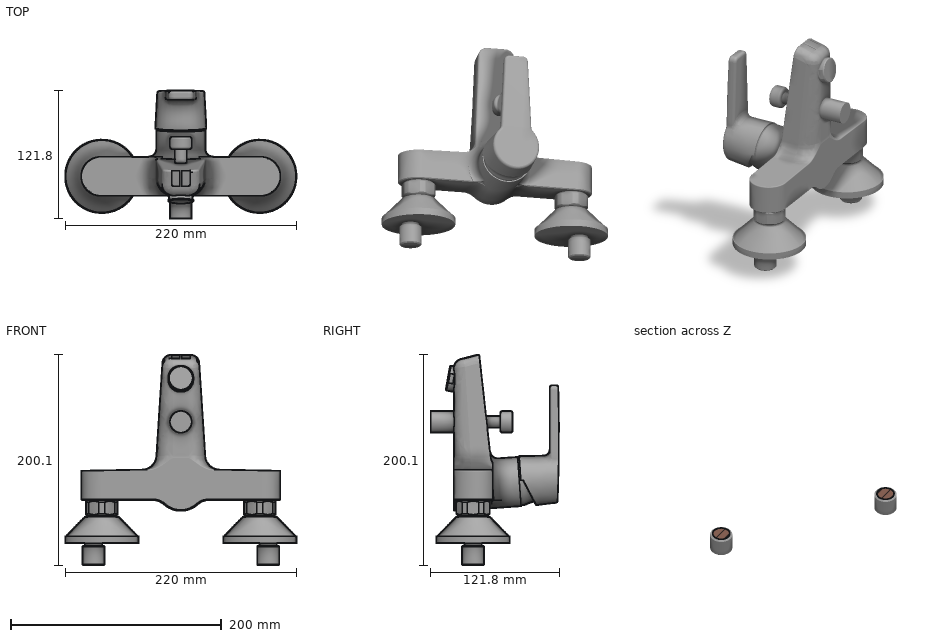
import cadquery as cq
import math

margin = 0.2

bar_half_length = 94.5
bar_half_depth = 18.5
bar_bottom = 62.0
bar_end_top = 90.0
bar_mid_top = 91.0
flare_radius = 13.2
hump_fillet = 16.5
bar_edge_chamfer = 0.9
bar_edge_fillet = 0.9
bar_rise_end = 37.4

column_base_half_width = 24.5
column_base_back = 18.5
column_base_corner = 17.1
column_burial = 4.5
column_base_z = bar_mid_top - column_burial
column_tip_half_width = 17.0
column_tip_back = 5.7
column_tip_corner = 9.7
column_tip_z = 202.2
column_back_fillet = 1.8
column_inset = 0.2
column_front = column_inset - bar_half_depth
column_peak_y = 5.0
column_peak_z = 200.3
column_brow_z = 194.0
column_top_fillet = 8.8
column_rim_bottom = 175.9
column_rim_back = 4.6

inlay_half_width = 8.8
inlay_gap = 1.8
inlay_length = 15.0
inlay_depth = 0.5
inlay_corner = 2.0

barrel_tilt = 4.0
barrel_root_z = 77.8
barrel_radius = 23.5
barrel_end = 25.5
neck_radius = 22.6
neck_end = 28.4
inner_cone_end = 41.8
inner_cone_radius = 18.7
barrel_flare = 7.0
cap_start = 27.0
cap_end = 70.3
cap_front_radius = 24.5
cap_back_radius = 22.0

lever_front = 72.5
lever_thickness = 13.2
lever_base_z = 88.0
lever_root_z = 97.8
lever_root_top_z = 105.5
lever_top_z = 171.0
lever_base_half_width = 15.4
lever_top_half_width = 11.2
lever_corner = 4.8
lever_edge_fillet = 2.6
lever_root_fillet = 5.3
handle_back = 81.5
handle_back_fillet = 2.2
handle_back_mid_z = 114.3
handle_back_top_y = 81.0
handle_bottom_z = 60.5
handle_back_bottom_y = 80.2

mouth_top_y = 47.5
mouth_top_z = 81.0
mouth_bottom_y = 61.8
mouth_bottom_z = 53.5

outlet_z = 136.3
outlet_radius = 10.3
outlet_tip = -40.2
rod_radius = 5.7
knob_radius = 10.3
knob_front = 25.7
knob_back = 37.5
knob_fillet = 2.5
aerator_tilt = 10.0
aerator_face_y = -24.0
aerator_face_z = 177.8
aerator_radius = 12.0
aerator_depth = 10.0
aerator_chamfer = 0.9
aerator_flat_x = 11.2
aerator_flat_start = 1.3
aerator_flat_end = 5.7

flange_x = 75.0
flange_radius = 35.0
flange_bottom = 21.0
flange_rim_top = 27.5
flange_cone_radius = 34.3
flange_top = 46.2
flange_top_radius = 16.0
nut_bottom = 47.3
nut_across_flats = 30.1
nut_corner_radius = 16.0
nut_chamfer = 2.0
collar_radius = 13.6
stub_x = 82.9
stub_radius = 10.5
stub_top = 19.0
stub_chamfer = 1.0
stub_neck_radius = 8.4


def cylinder_y(radius, y_start, y_end, z):
    """Cylinder along Y at x = 0."""
    return (
        cq.Workplane("XZ", origin=(0, y_start, z))
        .circle(radius)
        .extrude(y_start - y_end)
    )


def on_barrel_axis(solid):
    """Move a solid built around +Y onto the tilted barrel axis at the bar's back face."""
    return (
        solid.rotate((0, 0, 0), (1, 0, 0), barrel_tilt)
        .translate((0, bar_half_depth, barrel_root_z))
    )


def column_section(z, half_width, back, corner):
    """Plan section of the column: square back, rounded front corners."""
    bend = corner * (1 - math.sqrt(0.5))
    shoulder = column_front + corner
    return (
        cq.Workplane("XY", origin=(0, 0, z))
        .moveTo(-half_width, back)
        .lineTo(-half_width, shoulder)
        .threePointArc(
            (-half_width + bend, column_front + bend),
            (-half_width + corner, column_front),
        )
        .lineTo(half_width - corner, column_front)
        .threePointArc(
            (half_width - bend, column_front + bend),
            (half_width, shoulder),
        )
        .lineTo(half_width, back)
        .close()
        .wire()
        .val()
    )


def make_column():
    """Tapering column with a sloped, rounded top; its foot is buried in the crossbar."""
    base = column_section(
        column_base_z, column_base_half_width, column_base_back, column_base_corner
    )
    tip = column_section(
        column_tip_z, column_tip_half_width, column_tip_back, column_tip_corner
    )
    column = cq.Workplane(cq.Solid.makeLoft([base, tip], True))
    slope = (column_peak_z - column_brow_z) / (column_peak_y - column_front)
    reach = 2 * column_base_half_width
    below_slope = (
        cq.Workplane("YZ")
        .moveTo(-reach, 0)
        .lineTo(reach, 0)
        .lineTo(reach, column_peak_z + slope * (reach - column_peak_y))
        .lineTo(-reach, column_peak_z - slope * (reach + column_peak_y))
        .close()
        .extrude(reach, both=True)
    )
    column = column.intersect(below_slope)
    rim_zone = cq.selectors.BoxSelector(
        (-reach, -reach, column_rim_bottom), (reach, column_rim_back, column_tip_z)
    )
    column = column.faces(">Z").edges().edges(rim_zone).fillet(column_top_fillet)
    back_zone = cq.selectors.BoxSelector(
        (-reach, column_rim_back, bar_mid_top + flare_radius), (reach, reach, column_tip_z)
    )
    return column.edges(back_zone).fillet(column_back_fillet)


def make_inlays():
    """Two thin recess cutters, left and right of the middle of the sloped top."""
    slope_angle = math.degrees(
        math.atan2(column_peak_z - column_brow_z, column_peak_y - column_front)
    )
    plate = (
        cq.Workplane("XY")
        .rect(2 * inlay_half_width, inlay_length)
        .extrude(2 * inlay_depth)
        .edges("|Z and <Y")
        .fillet(inlay_corner)
    )
    bridge = cq.Workplane("XY").box(inlay_gap, 2 * inlay_length, 4 * inlay_depth)
    return (
        plate.cut(bridge)
        .translate((0, -inlay_length / 2, -inlay_depth))
        .rotate((0, 0, 0), (1, 0, 0), slope_angle)
        .translate((0, column_peak_y, column_peak_z))
    )


def make_body():
    """Crossbar with its lower hump and the column, blended and trimmed to a stadium plan."""
    rough_depth = 3 * bar_half_depth
    bar = (
        cq.Workplane("XZ")
        .moveTo(-bar_half_length, bar_bottom)
        .lineTo(bar_half_length, bar_bottom)
        .lineTo(bar_half_length, bar_end_top)
        .lineTo(bar_rise_end, bar_mid_top)
        .lineTo(-bar_rise_end, bar_mid_top)
        .lineTo(-bar_half_length, bar_end_top)
        .close()
        .extrude(rough_depth, both=True)
    )
    hump = on_barrel_axis(cylinder_y(barrel_radius, -2 * rough_depth, rough_depth, 0))
    hump_limit = cq.Workplane("XY").box(
        bar_half_length, 2 * rough_depth, 2 * column_base_z
    )
    bar = bar.union(hump.intersect(hump_limit))
    crease_zone = cq.selectors.BoxSelector(
        (-barrel_radius, -bar_half_depth, bar_bottom - margin),
        (barrel_radius, bar_half_depth, bar_bottom + margin),
    )
    bar = bar.edges(crease_zone).fillet(hump_fillet)
    body = bar.union(make_column())
    foot_zone = cq.selectors.BoxSelector(
        (-column_base_half_width, -bar_half_depth, bar_mid_top - margin),
        (column_base_half_width, column_base_back, bar_mid_top + margin),
    )
    body = body.edges(foot_zone).fillet(flare_radius)
    plan = (
        cq.Workplane("XY")
        .slot2D(2 * bar_half_length, 2 * bar_half_depth)
        .extrude(column_tip_z)
    )
    body = body.intersect(plan)
    underside_zone = cq.selectors.BoxSelector(
        (-bar_half_length, -2 * bar_half_depth, 0),
        (bar_half_length, 2 * bar_half_depth, bar_bottom + margin),
    )
    body = body.edges(underside_zone).chamfer(bar_edge_chamfer)
    upper_zone = cq.selectors.BoxSelector(
        (-bar_half_length - margin, -2 * bar_half_depth, bar_end_top - margin),
        (bar_half_length + margin, 2 * bar_half_depth, bar_mid_top + flare_radius),
    )
    walls = body.faces("<Y or >Y or %CYLINDER")
    return walls.edges(upper_zone).edges("not |Z").fillet(bar_edge_fillet)


def make_barrel():
    """Cartridge barrel with a groove neck, a tapering inner cone and a flared root."""
    barrel = on_barrel_axis(
        cq.Workplane("XY")
        .moveTo(0, -bar_half_depth / 2)
        .lineTo(barrel_radius, -bar_half_depth / 2)
        .lineTo(barrel_radius, barrel_end)
        .lineTo(neck_radius, barrel_end)
        .lineTo(neck_radius, neck_end)
        .lineTo(inner_cone_radius, inner_cone_end)
        .lineTo(0, inner_cone_end)
        .close()
        .revolve(360, (0, 0, 0), (0, 1, 0))
    )
    bend = barrel_flare * (1 - math.sqrt(0.5))
    flare = on_barrel_axis(
        cq.Workplane("XY")
        .moveTo(0, -barrel_flare)
        .lineTo(barrel_radius + barrel_flare, -barrel_flare)
        .lineTo(barrel_radius + barrel_flare, 0)
        .threePointArc((barrel_radius + bend, bend), (barrel_radius, barrel_flare))
        .lineTo(0, barrel_flare)
        .close()
        .revolve(360, (0, 0, 0), (0, 1, 0))
    )
    above_underside = (
        cq.Workplane("XY", origin=(0, 0, bar_bottom))
        .rect(bar_half_length, 4 * bar_half_depth)
        .extrude(bar_bottom)
    )
    return barrel.union(flare.intersect(above_underside))


def make_handle():
    """Tapered cap with a slanted lower mouth and an upright lever."""
    cap = on_barrel_axis(
        cq.Workplane("XY")
        .lineTo(cap_front_radius, 0)
        .lineTo(cap_back_radius, cap_end - cap_start)
        .lineTo(0, cap_end - cap_start)
        .close()
        .revolve(360, (0, 0, 0), (0, 1, 0))
        .translate((0, cap_start, 0))
    )
    mouth = (
        cq.Workplane("YZ")
        .moveTo(mouth_top_y, mouth_top_z)
        .lineTo(mouth_bottom_y, mouth_bottom_z)
        .lineTo(bar_half_depth, mouth_bottom_z)
        .lineTo(bar_half_depth, mouth_top_z)
        .close()
        .extrude(2 * cap_front_radius, both=True)
    )
    cap = cap.cut(mouth)
    lever = (
        cq.Workplane("XZ", origin=(0, lever_front, 0))
        .moveTo(-lever_base_half_width, lever_base_z)
        .lineTo(lever_base_half_width, lever_base_z)
        .lineTo(lever_top_half_width, lever_top_z)
        .lineTo(-lever_top_half_width, lever_top_z)
        .close()
        .extrude(-lever_thickness)
        .edges("|Y and >Z")
        .fillet(lever_corner)
    )
    lever = lever.faces("<Y").edges("not <Z").fillet(lever_edge_fillet)
    handle = cap.union(lever)
    root_zone = cq.selectors.BoxSelector(
        (-cap_back_radius, lever_front - margin, lever_root_z),
        (cap_back_radius, lever_front + lever_edge_fillet + margin, lever_root_top_z),
    )
    handle = handle.edges(root_zone).fillet(lever_root_fillet)
    envelope = (
        cq.Workplane("YZ")
        .moveTo(handle_back_top_y, lever_top_z)
        .threePointArc(
            (handle_back, handle_back_mid_z), (handle_back_bottom_y, handle_bottom_z)
        )
        .lineTo(handle_back_bottom_y, 0)
        .lineTo(0, 0)
        .lineTo(0, lever_top_z)
        .close()
        .extrude(2 * cap_front_radius, both=True)
    )
    handle = handle.intersect(envelope)
    return handle.faces(">Y").edges().fillet(handle_back_fillet)


def make_outlet():
    """Plain round outlet tube on the column front."""
    return cylinder_y(outlet_radius, outlet_tip, 0, outlet_z)


def make_diverter():
    """Pull rod with a rounded knob behind the column."""
    rod = cylinder_y(rod_radius, 0, knob_back, outlet_z)
    knob = cylinder_y(knob_radius, knob_front, knob_back, outlet_z).edges().fillet(knob_fillet)
    return rod.union(knob)


def make_aerator():
    """Short disc on the column front, its face turned slightly upward."""
    disc = cylinder_y(aerator_radius, 0, aerator_depth, 0)
    disc = disc.faces("<Y").chamfer(aerator_chamfer)
    for side in (-1, 1):
        flat = cq.Workplane("XY").box(
            aerator_radius,
            aerator_flat_end - aerator_flat_start,
            2 * aerator_radius,
            centered=(True, False, True),
        )
        flat_center = side * (aerator_flat_x + aerator_radius / 2)
        disc = disc.cut(flat.translate((flat_center, aerator_flat_start, 0)))
    return (
        disc.rotate((0, 0, 0), (1, 0, 0), -aerator_tilt)
        .translate((0, aerator_face_y, aerator_face_z))
    )


def make_wall_connection(side):
    """Nut, conical flange and offset stub; side is -1 or +1."""
    flange = (
        cq.Workplane("XZ")
        .moveTo(0, flange_bottom)
        .lineTo(flange_radius, flange_bottom)
        .lineTo(flange_radius, flange_rim_top)
        .lineTo(flange_cone_radius, flange_rim_top)
        .lineTo(flange_top_radius, flange_top)
        .lineTo(collar_radius, flange_top)
        .lineTo(collar_radius, bar_bottom)
        .lineTo(0, bar_bottom)
        .close()
        .revolve(360, (0, 0, 0), (0, 1, 0))
    )
    nut_height = bar_bottom - nut_bottom
    hexagon = (
        cq.Workplane("XY", origin=(0, 0, nut_bottom))
        .polygon(6, nut_across_flats, circumscribed=True)
        .extrude(nut_height)
    )
    turned = (
        cq.Workplane("XY", origin=(0, 0, nut_bottom))
        .circle(nut_corner_radius)
        .extrude(nut_height)
        .edges()
        .chamfer(nut_chamfer)
    )
    nut = hexagon.intersect(turned)
    stub = (
        cq.Workplane("XY")
        .circle(stub_radius)
        .extrude(stub_top)
        .edges()
        .chamfer(stub_chamfer)
    )
    stub_neck = cq.Workplane("XY").circle(stub_neck_radius).extrude(flange_rim_top)
    stub = stub.union(stub_neck).translate((side * stub_x, 0, 0))
    return flange.union(nut).translate((side * flange_x, 0, 0)).union(stub)


result = make_body().cut(make_inlays())
for feature in (
    make_barrel(),
    make_handle(),
    make_outlet(),
    make_diverter(),
    make_aerator(),
    make_wall_connection(-1),
    make_wall_connection(1),
):
    result = result.union(feature)